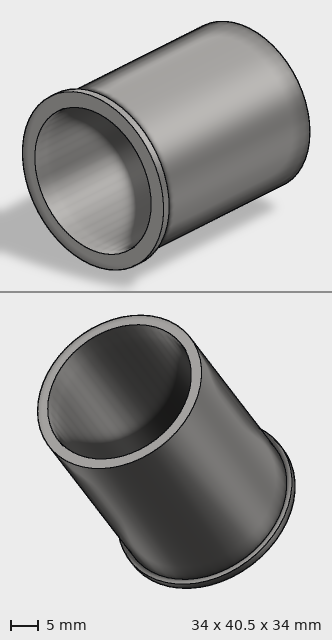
import cadquery as cq

bore_diameter = 28.0
wall_thickness = 2.0
flange_overhang = 1.0
flange_thickness = 1.5
overall_length = 40.5

body_diameter = bore_diameter + 2 * wall_thickness
flange_diameter = body_diameter + 2 * flange_overhang


def cylinder_along_y(diameter, length):
    """Solid cylinder from the flange face (Y = 0) towards +Y."""
    return cq.Workplane("XZ").circle(diameter / 2).extrude(-length)


body = cylinder_along_y(body_diameter, overall_length)
flange = cylinder_along_y(flange_diameter, flange_thickness)
bore = cylinder_along_y(bore_diameter, overall_length)

result = body.union(flange).cut(bore)